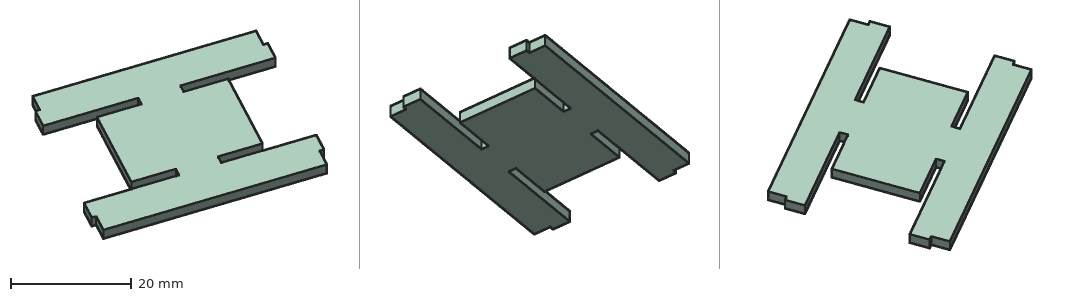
import cadquery as cq

width = 32.2
length = 41.6
thickness = 2.2

rail_width = 6.82
tongue_width = 3.55
tongue_length = 0.8

panel_width = 15.6
panel_length = 23.5
bridge_length = 7.57


def plate(size_x, size_y, center_x=0):
    """Flat rectangle of the common thickness, centred in Y and Z."""
    return cq.Workplane("XY").center(center_x, 0).box(size_x, size_y, thickness)


def rail(side):
    """Rail on the -X (side = -1) or +X (side = 1) edge, with its end tongues."""
    outer_edge = width / 2
    inner_edge = outer_edge - rail_width
    body = plate(rail_width, length - 2 * tongue_length, side * (outer_edge - rail_width / 2))
    tongues = plate(tongue_width, length, side * (inner_edge + tongue_width / 2))
    return body.union(tongues)


panel = plate(panel_width, panel_length)
bridge = plate(width - rail_width, bridge_length)

result = panel.union(bridge).union(rail(-1)).union(rail(1)).clean()